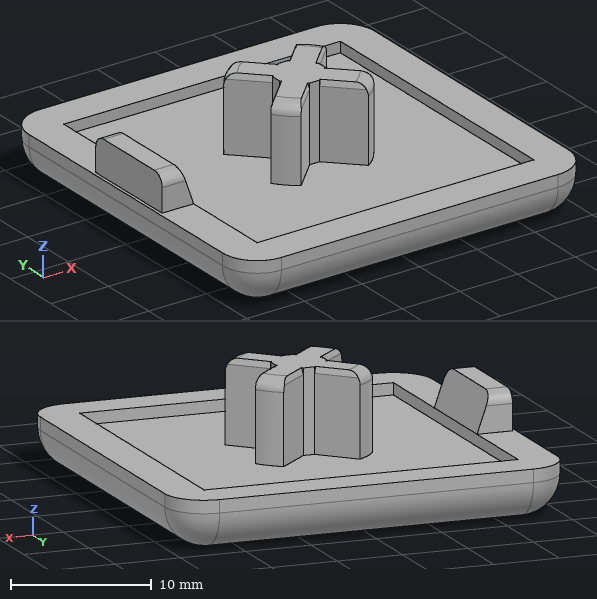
import cadquery as cq
import math

plate_side = 30.0
plate_height = 4.0
plate_radius = 3.0
pocket_side = 24.0
pocket_depth = 0.9

boss_top = 9.5
boss_radius = 5.35
boss_top_fillet = 1.0
arm_width = 2.2
core_side = 3.95
arm_chamfer_width = 0.15
arm_chamfer_height = 0.48

tab_height = 3.0
tab_length = 8.25
tab_inset = 0.27
tab_top_thickness = 1.68
tab_corner_radius = 1.0

pocket_floor = plate_height - pocket_depth
boss_height = boss_top - pocket_floor
arm_start = core_side / math.sqrt(2) - arm_width / 2


def make_plate():
    blank = cq.Workplane("XY").box(plate_side, plate_side, plate_height, centered=(True, True, False))
    blank = blank.edges("|Z").fillet(plate_radius)
    blank = blank.faces("<Z").edges().fillet(plate_radius)
    pocket = (
        cq.Workplane("XY", origin=(0, 0, pocket_floor))
        .rect(pocket_side, pocket_side)
        .extrude(pocket_depth)
    )
    return blank.cut(pocket)


def make_core():
    """Octagonal centre of the cross: four flats, and four sides where the arms start."""
    square = cq.Workplane("XY").rect(core_side, core_side).extrude(boss_height)
    turned = cq.Workplane("XY").rect(2 * arm_start, 2 * arm_start).extrude(boss_height)
    return square.intersect(turned.rotate((0, 0, 0), (0, 0, 1), 45))


def make_arm(angle):
    """Arm with chamfered upper long edges, from the core out past the rounded tip."""
    half_width = arm_width / 2
    half_top = half_width - arm_chamfer_width
    chamfer_base = boss_height - arm_chamfer_height
    section = [
        (-half_width, 0),
        (half_width, 0),
        (half_width, chamfer_base),
        (half_top, boss_height),
        (-half_top, boss_height),
        (-half_width, chamfer_base),
    ]
    arm = cq.Workplane("YZ", origin=(arm_start, 0, 0)).polyline(section).close().extrude(boss_radius)
    return arm.rotate((0, 0, 0), (0, 0, 1), angle)


def make_boss():
    """Cross trimmed by a round post, which gives the arms their curved, filleted tips."""
    cross = make_core()
    for angle in (45, 135, 225, 315):
        cross = cross.union(make_arm(angle))
    envelope = cq.Workplane("XY").circle(boss_radius).extrude(boss_height)
    envelope = envelope.faces(">Z").edges().fillet(boss_top_fillet)
    return cross.intersect(envelope).translate((0, 0, pocket_floor))


def make_tab():
    outer_x = -plate_side / 2 + tab_inset
    inner_x = -pocket_side / 2
    tab_top = plate_height + tab_height
    profile = [
        (outer_x, pocket_floor),
        (inner_x, pocket_floor),
        (inner_x, plate_height),
        (outer_x + tab_top_thickness, tab_top),
        (outer_x, tab_top),
    ]
    wedge = cq.Workplane("XZ").polyline(profile).close().extrude(tab_length / 2, both=True)
    envelope = (
        cq.Workplane("YZ", origin=(outer_x, 0, 0))
        .rect(tab_length, 2 * tab_top)
        .extrude(inner_x - outer_x)
        .edges("|X")
        .fillet(tab_corner_radius)
    )
    return wedge.intersect(envelope)


result = make_plate().union(make_boss()).union(make_tab())